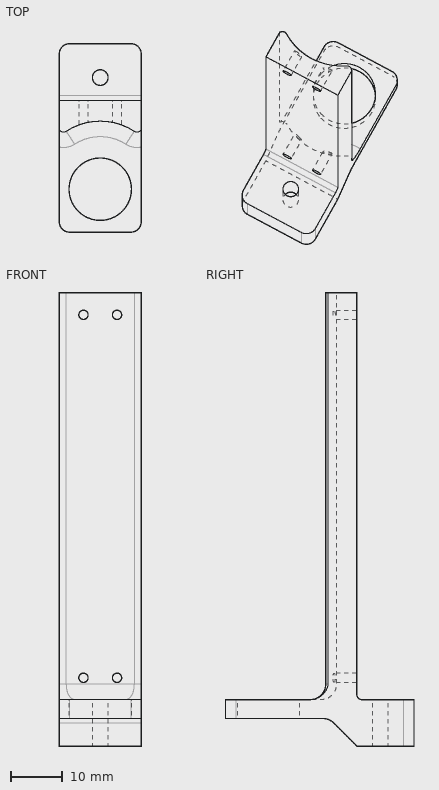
import cadquery as cq
import math

width = 15.9
length = 36.45
height = 87.6
half_width = width / 2

floor_height = 9.0
plate_thickness = 3.7
plate_bottom = floor_height - plate_thickness
taper_radius = 3.0
plan_corner_radius = 2.0

column_back = 25.4
channel_bottom = 21.5
channel_radius = 12.0
lip_radius = 1.0
lip_inset = 0.83
back_fillet = 1.0
front_fillet = 3.0

channel_center_y = channel_bottom - channel_radius
lip_center_x = half_width - lip_inset
center_distance = channel_radius + lip_radius
seam_angle = math.asin(lip_center_x / center_distance)
lip_center_y = channel_center_y + center_distance * math.cos(seam_angle)
lip_side_y = lip_center_y - math.sqrt(lip_radius**2 - lip_inset**2)
seam_x = channel_radius * math.sin(seam_angle)
seam_y = channel_center_y + channel_radius * math.cos(seam_angle)

foot_hole_diameter = 3.0
foot_hole_y = length - 6.6
ring_hole_diameter = 12.0
ring_hole_y = 8.3
pin_hole_diameter = 1.75
pin_spacing = 6.5
pin_heights = (13.2, height - 4.3)


def make_base():
    """Side profile with a 45 degree taper, extruded across the width."""
    taper_end = column_back - plate_bottom
    base = (
        cq.Workplane("YZ")
        .moveTo(length, 0)
        .lineTo(column_back, 0)
        .lineTo(taper_end, plate_bottom)
        .lineTo(0, plate_bottom)
        .lineTo(0, floor_height)
        .lineTo(length, floor_height)
        .close()
        .extrude(half_width, both=True)
    )
    taper_edge = cq.selectors.NearestToPointSelector((0, taper_end, plate_bottom))
    base = base.edges(taper_edge).fillet(taper_radius)
    return base.edges("|Z and (<Y or >Y)").fillet(plan_corner_radius)


def make_column():
    """Column whose concave front arc runs tangent into a rounded lip on each side."""
    lip_front_y = lip_center_y - lip_radius
    return (
        cq.Workplane("XY", origin=(0, 0, plate_bottom))
        .moveTo(-half_width, column_back)
        .lineTo(half_width, column_back)
        .lineTo(half_width, lip_side_y)
        .threePointArc((lip_center_x, lip_front_y), (seam_x, seam_y))
        .threePointArc((0, channel_bottom), (-seam_x, seam_y))
        .threePointArc((-lip_center_x, lip_front_y), (-half_width, lip_side_y))
        .close()
        .extrude(height - plate_bottom)
    )


def blend_profile(start_radius, wall_radius, direction):
    """Fillet section beside a wall, from start_radius to the fillet's toe on the floor."""
    top = floor_height + front_fillet
    toe_radius = wall_radius + direction * front_fillet
    middle_offset = front_fillet * (1 - math.sqrt(0.5))
    middle = (wall_radius + direction * middle_offset, floor_height + middle_offset)
    return (
        cq.Workplane("XZ")
        .moveTo(start_radius, plate_bottom)
        .lineTo(start_radius, top)
        .lineTo(wall_radius, top)
        .threePointArc(middle, (toe_radius, floor_height))
        .lineTo(toe_radius, plate_bottom)
        .close()
    )


def make_front_blend():
    """Fillet around the channel and both lips, cut off flush with the sides."""
    sweep = math.degrees(seam_angle) * 2
    overlap = 0.9
    blend = (
        blend_profile(channel_radius + overlap, channel_radius, -1)
        .revolve(sweep, (0, 0, 0), (0, 1, 0))
        .rotate((0, 0, 0), (0, 0, 1), 90 - sweep / 2)
        .translate((0, channel_center_y, 0))
    )
    for side in (-1, 1):
        lip = blend_profile(0, lip_radius, 1).revolve(360, (0, 0, 0), (0, 1, 0))
        blend = blend.union(lip.translate((side * lip_center_x, lip_center_y, 0)))
    envelope = cq.Workplane("XY").box(width, length, height, centered=(True, False, False))
    return blend.intersect(envelope)


def fillet_column_back(body):
    back_edge = cq.selectors.NearestToPointSelector((0, column_back, floor_height))
    return body.edges(back_edge).fillet(back_fillet)


def vertical_hole(diameter, y):
    return cq.Workplane("XY").center(0, y).circle(diameter / 2).extrude(height)


def pin_holes():
    points = [(side * pin_spacing / 2, z) for side in (-1, 1) for z in pin_heights]
    return cq.Workplane("XZ").pushPoints(points).circle(pin_hole_diameter / 2).extrude(-length)


result = fillet_column_back(make_base().union(make_column()))
result = result.union(make_front_blend())
result = result.cut(vertical_hole(foot_hole_diameter, foot_hole_y))
result = result.cut(vertical_hole(ring_hole_diameter, ring_hole_y))
result = result.cut(pin_holes())